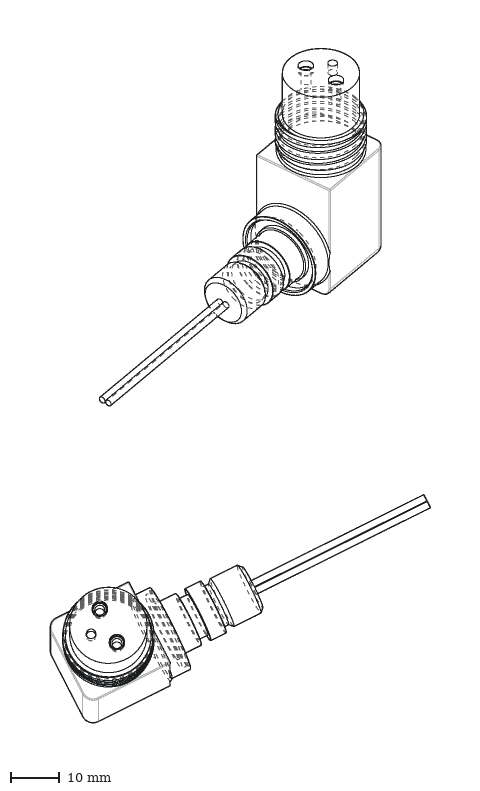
import cadquery as cq
TOTAL_LENGTH = 82.85

BODY_SIDE = 19.05
BODY_HEIGHT = 28.6
BODY_ROUNDING = 2.4
EDGE_FILLET = 0.25
HALF_SIDE = BODY_SIDE / 2

JOINT_OVERLAP = 0.8

NECK_DIA = 17.65
THREAD_DIA = 18.8
NECK_FLARE = 0.4
THREAD_BOTTOM = 30.1
THREAD_TOP = 38.0
THREAD_CHAMFER = (THREAD_DIA - NECK_DIA) / 2
PLUG_DIA = 15.9
PLUG_TOP = 48.8

THREAD_PITCH = 3.15
RIDGE_WIDTH = 1.65
RIDGE_ROOT_OVERLAP = 0.3
RIDGE_START = 28.7
RIDGE_START_ANGLE = 20.0
TRIM_MARGIN = 1.65

SOCKET_SPACING = 7.8
SOCKET_DIA = 3.15
SOCKET_DEPTH = 1.5
COUNTERSINK_DIA = 2.7
BORE_DIA = 2.1
BORE_DEPTH = 5.8
KEY_HOLE_DIA = 2.0
KEY_HOLE_DEPTH = 2.5
KEY_HOLE_OFFSET = 4.0

OUTLET_HEIGHT = HALF_SIDE
COLLAR_DIA = 18.8
COLLAR_LENGTH = 4.7
COLLAR_FLARE = 0.4
RECESS_DIA = 16.8
RECESS_DEPTH = 1.5
RECESS_CHAMFER = 0.25
GLAND_DIA = 11.9
GLAND_BOSS_DIA = 12.9
GLAND_BOSS_LENGTH = 1.0
GROOVE_DIA = 9.4
LIP_CHAMFER = 0.1
GROOVE_1 = (8.95, 11.0)
GROOVE_2 = (14.7, 15.8)
NUT_DIA = 11.0
NUT_CHAMFER = (NUT_DIA - GROOVE_DIA) / 2
NUT_END = 23.7

WIRE_DIA = 1.5
WIRE_SPACING = 1.6
WIRE_SIDE_OFFSET = -0.1
WIRE_DROP = 0.25


def make_body():
    block = cq.Workplane("XY").box(BODY_SIDE, BODY_SIDE, BODY_HEIGHT, centered=(True, True, False))
    block = block.edges("(|Z and >Y) or (<Z and (|Y or >Y))").fillet(BODY_ROUNDING)
    return block.faces(">Z or <Y").edges().fillet(EDGE_FILLET)


def make_plug():
    neck_r = NECK_DIA / 2
    plug_r = PLUG_DIA / 2
    profile = [
        (0, BODY_HEIGHT - JOINT_OVERLAP),
        (neck_r + NECK_FLARE, BODY_HEIGHT - JOINT_OVERLAP),
        (neck_r + NECK_FLARE, BODY_HEIGHT),
        (neck_r, BODY_HEIGHT + NECK_FLARE),
        (neck_r, THREAD_TOP),
        (plug_r, THREAD_TOP),
        (plug_r, PLUG_TOP),
        (0, PLUG_TOP),
    ]
    return cq.Workplane("XZ").polyline(profile).close().revolve(360, (0, 0), (0, 1))


def make_ridge():
    """Helical ridge of rectangular section, closed by ruled faces between its four corner helices."""
    root_r = NECK_DIA / 2 - RIDGE_ROOT_OVERLAP
    crest_r = THREAD_DIA / 2
    low, high = -RIDGE_WIDTH / 2, RIDGE_WIDTH / 2
    height = THREAD_TOP - RIDGE_START + RIDGE_WIDTH
    helices = [
        cq.Wire.makeHelix(THREAD_PITCH, height, radius).translate(cq.Vector(0, 0, z))
        for radius, z in [(root_r, low), (crest_r, low), (crest_r, high), (root_r, high)]
    ]
    faces = [cq.Face.makeRuledSurface(helices[i - 1], helices[i]) for i in range(4)]
    for end in (0, 1):
        corners = [helix.positionAt(end) for helix in helices]
        faces.append(cq.Face.makeFromWires(cq.Wire.makePolygon(corners, close=True)))
    ridge = cq.Workplane(cq.Solid.makeSolid(cq.Shell.makeShell(faces)))
    return ridge.rotate((0, 0, 0), (0, 0, 1), RIDGE_START_ANGLE).translate((0, 0, RIDGE_START))


def make_thread():
    """The ridge, trimmed flat and chamfered at both ends."""
    trim = (
        cq.Workplane("XY", origin=(0, 0, THREAD_BOTTOM))
        .circle(THREAD_DIA / 2 + TRIM_MARGIN)
        .extrude(THREAD_TOP - THREAD_BOTTOM)
        .faces("<Z or >Z")
        .chamfer(THREAD_CHAMFER + TRIM_MARGIN)
    )
    return make_ridge().intersect(trim)


def make_socket():
    socket_r = SOCKET_DIA / 2
    sink_r = COUNTERSINK_DIA / 2
    bore_r = BORE_DIA / 2
    profile = [
        (0, 0),
        (socket_r, 0),
        (socket_r, -SOCKET_DEPTH),
        (sink_r, -SOCKET_DEPTH),
        (bore_r, -SOCKET_DEPTH - (sink_r - bore_r)),
        (bore_r, -BORE_DEPTH),
        (0, -BORE_DEPTH - bore_r),
    ]
    return cq.Workplane("XZ").polyline(profile).close().revolve(360, (0, 0), (0, 1))


def make_key_hole():
    face = cq.Workplane("XY", origin=(0, KEY_HOLE_OFFSET, PLUG_TOP))
    return face.circle(KEY_HOLE_DIA / 2).extrude(-KEY_HOLE_DEPTH)


def outlet_revolve(points):
    """Turn (radius, distance out of the body front) points about the outlet axis."""
    outline = [(radius, -HALF_SIDE - distance) for radius, distance in points]
    solid = cq.Workplane("XY").polyline(outline).close().revolve(360, (0, 0), (0, 1))
    return solid.translate((0, 0, OUTLET_HEIGHT))


def make_collar():
    collar_r = COLLAR_DIA / 2
    recess_r = RECESS_DIA / 2
    collar = outlet_revolve([
        (0, -JOINT_OVERLAP),
        (collar_r + COLLAR_FLARE, -JOINT_OVERLAP),
        (collar_r + COLLAR_FLARE, 0),
        (collar_r, COLLAR_FLARE),
        (collar_r, COLLAR_LENGTH - LIP_CHAMFER),
        (collar_r - LIP_CHAMFER, COLLAR_LENGTH),
        (recess_r + RECESS_CHAMFER, COLLAR_LENGTH),
        (recess_r, COLLAR_LENGTH - RECESS_CHAMFER),
        (recess_r, COLLAR_LENGTH - RECESS_DEPTH),
        (0, COLLAR_LENGTH - RECESS_DEPTH),
    ])
    body_limits = cq.Workplane("XY").box(
        BODY_SIDE, TOTAL_LENGTH, BODY_HEIGHT, centered=(True, True, False)
    )
    return collar.intersect(body_limits)


def make_gland():
    boss_r = GLAND_BOSS_DIA / 2
    gland_r = GLAND_DIA / 2
    groove_r = GROOVE_DIA / 2
    nut_r = NUT_DIA / 2
    base = COLLAR_LENGTH - RECESS_DEPTH
    return outlet_revolve([
        (0, base - JOINT_OVERLAP),
        (boss_r, base - JOINT_OVERLAP),
        (boss_r, base + GLAND_BOSS_LENGTH),
        (gland_r, base + GLAND_BOSS_LENGTH),
        (gland_r, GROOVE_1[0] - LIP_CHAMFER),
        (gland_r - LIP_CHAMFER, GROOVE_1[0]),
        (groove_r, GROOVE_1[0]),
        (groove_r, GROOVE_1[1]),
        (gland_r - LIP_CHAMFER, GROOVE_1[1]),
        (gland_r, GROOVE_1[1] + LIP_CHAMFER),
        (gland_r, GROOVE_2[0] - LIP_CHAMFER),
        (gland_r - LIP_CHAMFER, GROOVE_2[0]),
        (groove_r, GROOVE_2[0]),
        (groove_r, GROOVE_2[1]),
        (nut_r, GROOVE_2[1] + NUT_CHAMFER),
        (nut_r, NUT_END - NUT_CHAMFER),
        (nut_r - NUT_CHAMFER, NUT_END),
        (0, NUT_END),
    ])


def make_wires():
    wire_start = HALF_SIDE + NUT_END - JOINT_OVERLAP
    wire_end = TOTAL_LENGTH - HALF_SIDE
    centre = (WIRE_SIDE_OFFSET, -wire_start, OUTLET_HEIGHT - WIRE_DROP)
    return (
        cq.Workplane("XZ", origin=centre)
        .pushPoints([(-WIRE_SPACING / 2, 0), (WIRE_SPACING / 2, 0)])
        .circle(WIRE_DIA / 2)
        .extrude(wire_end - wire_start)
    )


result = make_body().union(make_plug()).union(make_thread())
for side in (-1, 1):
    result = result.cut(make_socket().translate((side * SOCKET_SPACING / 2, 0, PLUG_TOP)))
result = result.cut(make_key_hole())
result = result.union(make_collar()).union(make_gland()).union(make_wires())